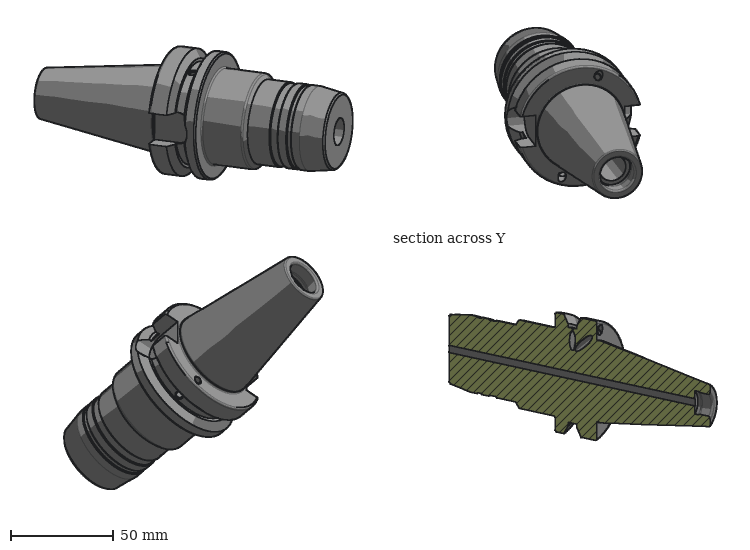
import cadquery as cq
import math


taper_ratio = 7 / 24
gauge_radius = 44.45 / 2
taper_length = 65.4
taper_end_radius = gauge_radius - taper_length * taper_ratio / 2
taper_end_fillet = 0.7
relief_start_x = 0.8
relief_radius = 44.0 / 2
relief_fillet = 0.5

flange_radius = 63.0 / 2
flange_rear_x = 2.0
flange_front_x = 27.0
flange_rear_fillet = 1.0
flange_front_chamfer = 0.8
groove_center_x = 16.55
groove_floor_width = 4.9
groove_mouth_width = 10.1
groove_floor_radius = 50.8 / 2
groove_wall_angle = 60
groove_flare_run = (groove_mouth_width - groove_floor_width) / 2
groove_flare_radius = flange_radius - groove_flare_run * math.tan(math.radians(groove_wall_angle))
groove_rear_x = groove_center_x - groove_floor_width / 2
groove_front_x = groove_center_x + groove_floor_width / 2

body_radius = 47.5 / 2
body_fillet = 0.8
body_end_x = 50.3
shoulder_angle = 55
shoulder_fillet = 1.25
nose_radius = 42.0 / 2
band_radius = 41.0 / 2
wide_band = (61.7, 66.3)
narrow_band = (70.5, 73.3)
nose_taper_start_x = 77.4
nose_end_x = 90.0
nose_end_radius = 38.2 / 2
nose_end_chamfer = 0.9

slot_width = 16.1
slot_floor_y = 22.6
slot_end_x = 22.7

through_radius = 13.5 / 2
counterbore_radius = 17.0 / 2
counterbore_fillet = 1.0
undercut_radius = 17.6 / 2
undercut_start_depth = 6.2
undercut_flare_run = 1.0
counterbore_depth = 9.0

coolant_radius = 4.0 / 2
coolant_clocking = 20
coolant_entry_radius = 26.9
coolant_tilt = 45
coolant_mouth_length = 1.0
coolant_core_radius = 3.24 / 2
coolant_overrun = 3.0
coolant_meeting_radius = (
    coolant_entry_radius - (groove_center_x - flange_rear_x) * math.tan(math.radians(coolant_tilt))
)


def make_body():
    """Revolve the outer profile, drawn as (x, radius), about X."""
    shoulder_run = (body_radius - nose_radius) / math.tan(math.radians(shoulder_angle))
    profile = (
        cq.Workplane("XY")
        .moveTo(-taper_length, 0)
        .lineTo(-taper_length, taper_end_radius)
        .lineTo(0, gauge_radius)
        .lineTo(relief_start_x, gauge_radius)
        .lineTo(relief_start_x, relief_radius)
        .lineTo(flange_rear_x - relief_fillet, relief_radius)
        .radiusArc((flange_rear_x, relief_radius + relief_fillet), -relief_fillet)
        .lineTo(flange_rear_x, flange_radius - flange_rear_fillet)
        .radiusArc((flange_rear_x + flange_rear_fillet, flange_radius), flange_rear_fillet)
        .lineTo(groove_rear_x - groove_flare_run, flange_radius)
        .lineTo(groove_rear_x, groove_flare_radius)
        .lineTo(groove_rear_x, groove_floor_radius)
        .lineTo(groove_front_x, groove_floor_radius)
        .lineTo(groove_front_x, groove_flare_radius)
        .lineTo(groove_front_x + groove_flare_run, flange_radius)
        .lineTo(flange_front_x - flange_front_chamfer, flange_radius)
        .lineTo(flange_front_x, flange_radius - flange_front_chamfer)
        .lineTo(flange_front_x, body_radius + body_fillet)
        .radiusArc((flange_front_x + body_fillet, body_radius), -body_fillet)
        .lineTo(body_end_x - shoulder_run, body_radius)
        .lineTo(body_end_x, nose_radius)
        .lineTo(nose_taper_start_x, nose_radius)
        .lineTo(nose_end_x - nose_end_chamfer, nose_end_radius)
        .lineTo(nose_end_x, nose_end_radius - nose_end_chamfer)
        .lineTo(nose_end_x, 0)
        .close()
    )
    body = profile.revolve(360, (0, 0, 0), (1, 0, 0))
    body = body.faces("<X").edges().fillet(taper_end_fillet)
    shoulder_start = (body_end_x - shoulder_run, 0, body_radius)
    return body.edges(cq.selectors.NearestToPointSelector(shoulder_start)).fillet(shoulder_fillet)


def make_band(start_x, end_x):
    """Ring that sinks a shallow band with 45 degree walls into the nose."""
    depth = nose_radius - band_radius
    profile = (
        cq.Workplane("XY")
        .moveTo(start_x, nose_radius)
        .lineTo(start_x + depth, band_radius)
        .lineTo(end_x - depth, band_radius)
        .lineTo(end_x, nose_radius)
        .close()
    )
    return profile.revolve(360, (0, 0, 0), (1, 0, 0))


def make_slot(side):
    """Round-ended drive slot on the +Y or -Y side, open to the rear."""
    half_width = slot_width / 2
    straight_end_x = slot_end_x - half_width
    outline = (
        cq.Workplane("XZ", origin=(0, side * slot_floor_y, 0))
        .moveTo(0, -half_width)
        .lineTo(straight_end_x, -half_width)
        .threePointArc((slot_end_x, 0), (straight_end_x, half_width))
        .lineTo(0, half_width)
        .close()
    )
    return outline.extrude(-side * flange_radius)


def make_bore():
    """Through bore with a rounded, undercut counterbore at the taper end."""
    undercut_start_x = -taper_length + undercut_start_depth
    counterbore_end_x = -taper_length + counterbore_depth
    profile = (
        cq.Workplane("XY")
        .moveTo(-taper_length, 0)
        .lineTo(-taper_length, counterbore_radius + counterbore_fillet)
        .radiusArc((-taper_length + counterbore_fillet, counterbore_radius), -counterbore_fillet)
        .lineTo(undercut_start_x, counterbore_radius)
        .lineTo(undercut_start_x + undercut_flare_run, undercut_radius)
        .lineTo(counterbore_end_x, undercut_radius)
        .lineTo(counterbore_end_x, through_radius)
        .lineTo(nose_end_x, through_radius)
        .lineTo(nose_end_x, 0)
        .close()
    )
    return profile.revolve(360, (0, 0, 0), (1, 0, 0))


def make_stepped_hole(inner_end, mouth_center, direction):
    """Narrow hole from inner_end out to mouth_center, wider over the last stretch of its length."""
    length = (mouth_center - inner_end).Length
    core = cq.Solid.makeCylinder(coolant_core_radius, length, inner_end, direction)
    mouth_floor = mouth_center - direction * coolant_mouth_length
    mouth = cq.Solid.makeCylinder(
        coolant_radius, coolant_mouth_length + coolant_overrun, mouth_floor, direction
    )
    return cq.Workplane(obj=core).union(cq.Workplane(obj=mouth))


def make_coolant_passage(clocking):
    """Tilted hole from the flange rear face, met by a radial hole from the groove floor."""
    tilt = math.radians(coolant_tilt)
    tilted_direction = cq.Vector(-math.cos(tilt), 0, math.sin(tilt))
    radial_direction = cq.Vector(0, 0, 1)
    meeting_point = cq.Vector(groove_center_x, 0, coolant_meeting_radius)
    face_mouth = cq.Vector(flange_rear_x, 0, coolant_entry_radius)
    groove_mouth = cq.Vector(groove_center_x, 0, groove_floor_radius)
    tilted_hole = make_stepped_hole(meeting_point, face_mouth, tilted_direction)
    radial_hole = make_stepped_hole(meeting_point, groove_mouth, radial_direction)
    return tilted_hole.union(radial_hole).rotate((0, 0, 0), (1, 0, 0), clocking)


result = make_body()
for band_start_x, band_end_x in (wide_band, narrow_band):
    result = result.cut(make_band(band_start_x, band_end_x))
for slot_side in (1, -1):
    result = result.cut(make_slot(slot_side))
for half_turn in (0, 180):
    result = result.cut(make_coolant_passage(coolant_clocking + half_turn))
result = result.cut(make_bore())